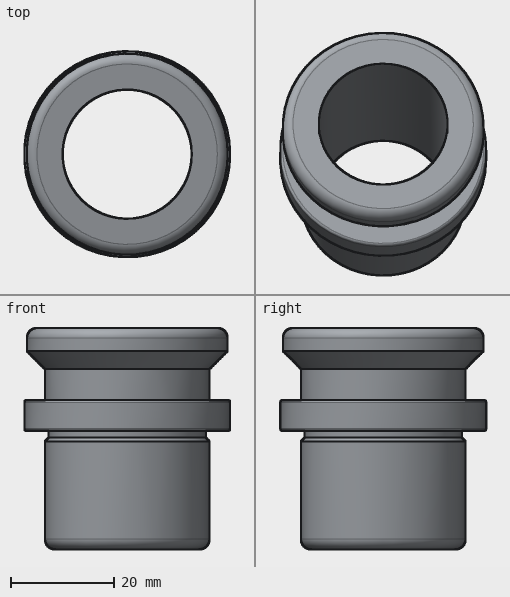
import cadquery as cq

total_height = 43.0
collar_bottom = 23.0
collar_height = 6.0
relief_height = 2.0
head_rim_height = 4.5

bore_radius = 12.5
body_radius = 16.0
collar_radius = 20.0
head_radius = 19.5
relief_depth = 0.7

head_fillet = 2.0
bottom_fillet = 2.0
collar_fillet = 0.5

collar_top = collar_bottom + collar_height
head_rim_bottom = total_height - head_rim_height
head_cone_bottom = head_rim_bottom - (head_radius - body_radius)
relief_radius = body_radius - relief_depth
relief_bottom = collar_bottom - relief_height + relief_depth


def cylinder(radius, bottom, top):
    """Solid cylinder on the Z axis between two heights."""
    return cq.Workplane("XY").workplane(offset=bottom).circle(radius).extrude(top - bottom)


def make_spigot():
    """Lower plug, rounded at the bottom and bevelled up to the relief groove."""
    spigot = cylinder(body_radius, 0, relief_bottom)
    spigot = spigot.faces("<Z").edges().fillet(bottom_fillet)
    return spigot.faces(">Z").edges().chamfer(relief_depth)


def make_collar():
    """Locating collar with both rims slightly rounded."""
    collar = cylinder(collar_radius, collar_bottom, collar_top)
    return collar.edges().fillet(collar_fillet)


def make_head():
    """Flared head: conical underside, straight rim and rounded top edge."""
    rim = cylinder(head_radius, head_rim_bottom, total_height)
    rim = rim.faces(">Z").edges().fillet(head_fillet)
    cone = (
        cq.Workplane("XY")
        .workplane(offset=head_cone_bottom)
        .circle(body_radius)
        .workplane(offset=head_rim_bottom - head_cone_bottom)
        .circle(head_radius)
        .loft(ruled=True)
    )
    return rim.union(cone)


relief = cylinder(relief_radius, relief_bottom, collar_bottom)
neck = cylinder(body_radius, collar_top, head_cone_bottom)
bore = cylinder(bore_radius, 0, total_height)

outer_shape = make_spigot().union(relief).union(make_collar()).union(neck).union(make_head())
result = outer_shape.cut(bore)